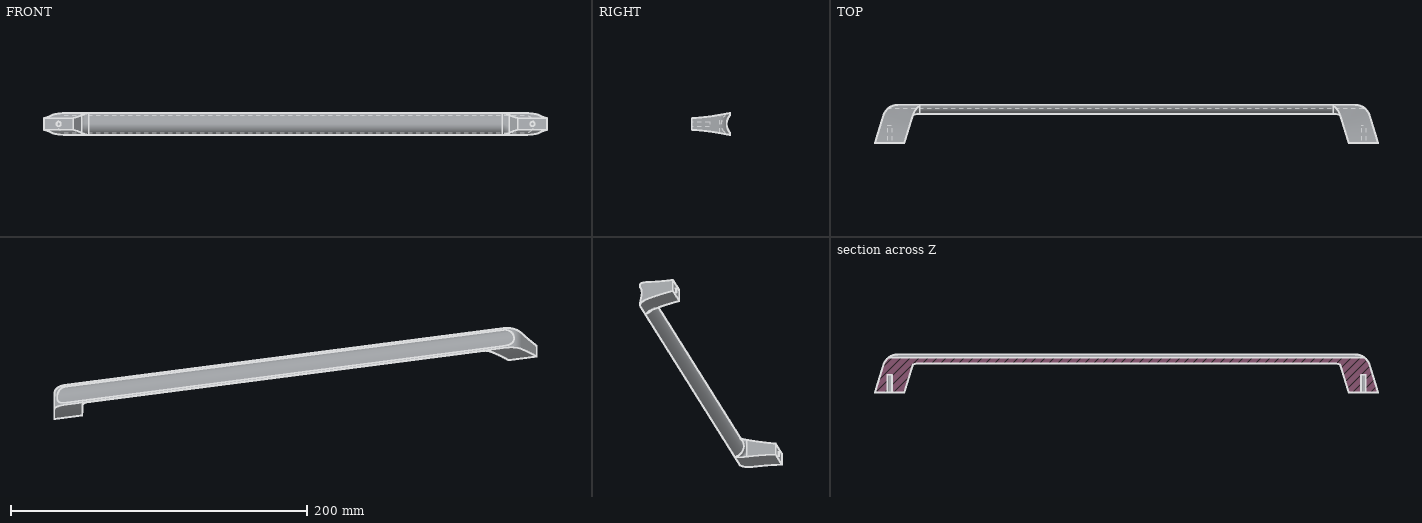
import cadquery as cq
import math

length = 340.0
height = 26.0
width = 15.0

foot_base_length = 20.0
foot_base_width = 8.0
foot_bend_width = 12.2
foot_lean = 17.0
outer_corner_radius = 10.5

blend_edge_radius = 16.0
blend_sections = 7
edge_land = 0.2
side_margin = 0.05
trim_allowance = 1.0

hole_diameter = 3.0
hole_depth = 12.0

grip_depth = 6.3
hollow_width = 12.0
hollow_depth = 2.3

half_length = length / 2
half_width = width / 2
half_base_width = foot_base_width / 2
half_bend_width = foot_bend_width / 2
untrimmed_half_width = half_width + trim_allowance
lean_angle = math.radians(foot_lean)
lean_slope = math.tan(lean_angle)
bend_height = height - outer_corner_radius * (1 - math.sin(lean_angle))
outer_corner_x = -half_length + height * lean_slope
blend_start_x = -half_length + foot_base_length + bend_height * lean_slope
blend_end_angle = math.asin(
    math.sin(lean_angle) + (height - edge_land - bend_height) / blend_edge_radius
)
blend_length = blend_edge_radius * (math.cos(lean_angle) - math.cos(blend_end_angle))

bend_rise = half_bend_width - half_base_width
back_rise = half_width - half_base_width
bend_half_square = (bend_height ** 2 + bend_rise ** 2) / 2
back_half_square = (height ** 2 + back_rise ** 2) / 2
turn_area = bend_height * back_rise - height * bend_rise
side_centre_y = (bend_half_square * back_rise - back_half_square * bend_rise) / turn_area
side_centre_z = half_base_width + (bend_height * back_half_square - height * bend_half_square) / turn_area
side_radius = math.hypot(side_centre_y, side_centre_z - half_base_width)


def half_width_at(y):
    """Half the width of the foot at a given height."""
    return side_centre_z - math.sqrt(side_radius ** 2 - (y - side_centre_y) ** 2)


def side_taper():
    """Prism along X whose hollow sides trim the foot to its width."""
    return (
        cq.Workplane("YZ")
        .moveTo(0, -half_base_width)
        .threePointArc((bend_height, -half_bend_width), (height, -half_width))
        .lineTo(height, half_width)
        .threePointArc((bend_height, half_bend_width), (0, half_base_width))
        .close()
        .extrude(half_length, both=True)
    )


def leg():
    """Leaning leg with a rounded outer corner, before its sides are trimmed."""
    profile = (
        cq.Workplane("XY")
        .moveTo(-half_length, 0)
        .lineTo(-half_length + foot_base_length, 0)
        .lineTo(blend_start_x, bend_height)
        .lineTo(blend_start_x, height)
        .lineTo(outer_corner_x, height)
        .close()
        .extrude(untrimmed_half_width, both=True)
    )
    outer_corner = cq.selectors.NearestToPointSelector((outer_corner_x, height, 0))
    return profile.edges(outer_corner).fillet(outer_corner_radius)


def blend_section(fraction):
    """Cross-section of the blend: untrimmed sides and a front arc that gets rounder towards the grip."""
    angle = lean_angle + fraction * (blend_end_angle - lean_angle)
    run = blend_edge_radius * (math.cos(lean_angle) - math.cos(angle))
    edge_y = bend_height + edge_land * (1 - fraction)
    edge_y += blend_edge_radius * (math.sin(angle) - math.sin(lean_angle))
    centre_rise = height - grip_depth - bend_height
    centre_y = bend_height + centre_rise * math.sqrt(1 - (1 - run / blend_length) ** 2)
    edge_z = half_width_at(edge_y) + side_margin
    return (
        cq.Workplane("YZ", origin=(blend_start_x + run, 0, 0))
        .moveTo(height, -untrimmed_half_width)
        .lineTo(edge_y, -untrimmed_half_width)
        .lineTo(edge_y, -edge_z)
        .threePointArc((centre_y, 0), (edge_y, edge_z))
        .lineTo(edge_y, untrimmed_half_width)
        .lineTo(height, untrimmed_half_width)
        .close()
        .val()
    )


def blend():
    """Smooth transition from the inner side of the leg to the grip."""
    wires = [blend_section(i / (blend_sections - 1)) for i in range(blend_sections)]
    return cq.Workplane(cq.Solid.makeLoft(wires))


def arc_segment_bar(chord, sagitta, bar_length):
    """Bar with a flat back at the grip's back plane and a rounded front."""
    return (
        cq.Workplane("YZ")
        .moveTo(height, -chord / 2)
        .threePointArc((height - sagitta, 0), (height, chord / 2))
        .close()
        .extrude(bar_length / 2, both=True)
    )


def screw_holes():
    """Blind holes centred on the mounting faces."""
    hole_x = half_length - foot_base_length / 2
    return (
        cq.Workplane("XZ")
        .pushPoints([(-hole_x, 0), (hole_x, 0)])
        .circle(hole_diameter / 2)
        .extrude(-hole_depth)
    )


grip_length = -2 * (blend_start_x + blend_length)
foot = leg().union(blend()).intersect(side_taper())
grip = arc_segment_bar(width, grip_depth, grip_length)
hollow = arc_segment_bar(hollow_width, hollow_depth, length)
result = grip.union(foot).union(foot.mirror("YZ")).cut(hollow).cut(screw_holes())